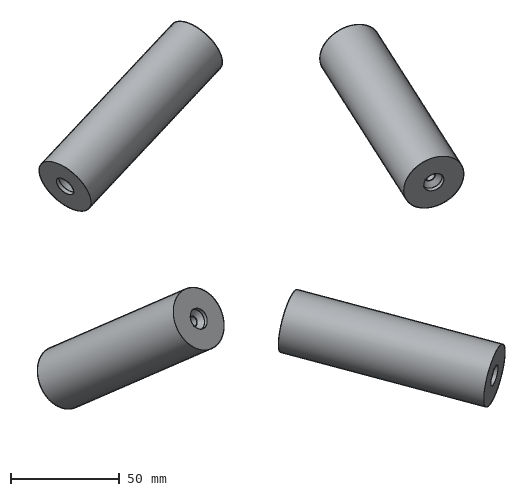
import cadquery as cq

length = 100.0
outer_diameter = 30.0
bore_diameter = 4.7
mouth_diameter = 10.0
mouth_depth = 2.0
seat_diameter = 5.2
cone_depth = (mouth_diameter - seat_diameter) / 2

outer_radius = outer_diameter / 2
mouth_radius = mouth_diameter / 2
seat_radius = seat_diameter / 2
bore_radius = bore_diameter / 2
end = length / 2
mouth_floor = end - mouth_depth
cone_floor = mouth_floor - cone_depth

half_profile = [
    (outer_radius, end),
    (mouth_radius, end),
    (mouth_radius, mouth_floor),
    (seat_radius, cone_floor),
    (bore_radius, cone_floor),
]

mirrored_half = [(radius, -y) for radius, y in reversed(half_profile)]

result = (
    cq.Workplane("XY")
    .polyline(half_profile + mirrored_half)
    .close()
    .revolve(360, (0, 0), (0, 1))
)